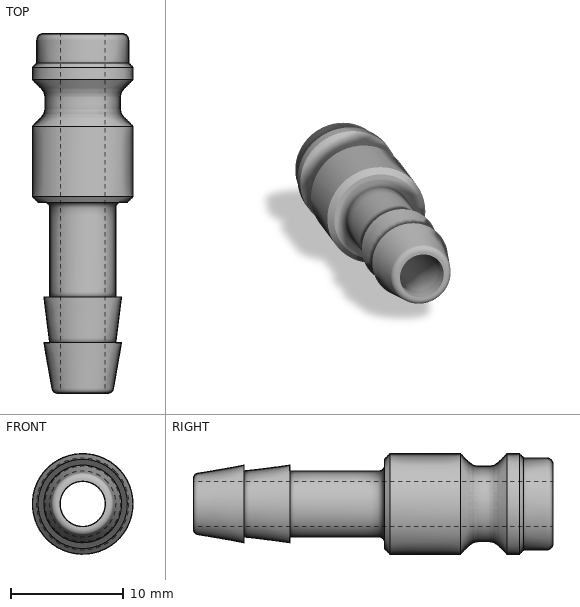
import cadquery as cq
import math

length = 32.0
head_end = length / 2

body_radius = 4.48
head_radius = 4.1
neck_radius = 3.35
stem_radius = 2.95
barb_radius = 3.45
bore_radius = 2.0

collar_start = 2.62
collar_end = 4.1
body_start = 8.25
body_end = 15.0
first_barb = 23.42
second_barb = 27.5

body_chamfer = 0.5
head_round = 0.6
neck_round = 1.0
stem_round = 0.45
tip_round = 0.5

tip_taper = math.radians(10)
tip_radius = barb_radius - (length - second_barb) * math.tan(tip_taper)
collar_step = body_radius - head_radius
groove_depth = body_radius - neck_radius
neck_start = collar_end + groove_depth
neck_end = body_start - groove_depth


def outer_body():
    """Revolve the sharp-cornered outer outline, given as (radius, station)."""
    outline = [
        (0, 0),
        (head_radius, 0),
        (head_radius, collar_start),
        (body_radius, collar_start + collar_step),
        (body_radius, collar_end),
        (neck_radius, neck_start),
        (neck_radius, neck_end),
        (body_radius, body_start),
        (body_radius, body_end - body_chamfer),
        (body_radius - body_chamfer, body_end),
        (stem_radius, body_end),
        (stem_radius, first_barb),
        (barb_radius, first_barb),
        (stem_radius, second_barb),
        (barb_radius, second_barb),
        (tip_radius, length),
        (0, length),
    ]
    points = [(radius, head_end - station) for radius, station in outline]
    return cq.Workplane("XY").polyline(points).close().revolve(360, (0, 0, 0), (0, 1, 0))


def round_ring(solid, ring_radius, station, fillet_radius):
    """Fillet the circular edge of the given radius at the given station."""
    tolerance = 0.003

    def is_ring(edge):
        if edge.geomType() != "CIRCLE":
            return False
        same_radius = abs(edge.radius() - ring_radius) < tolerance
        same_station = abs(edge.Center().y - (head_end - station)) < tolerance
        return same_radius and same_station

    return solid.edges().filter(is_ring).fillet(fillet_radius)


result = outer_body()
result = round_ring(result, head_radius, 0, head_round)
result = round_ring(result, neck_radius, neck_start, neck_round)
result = round_ring(result, neck_radius, neck_end, neck_round)
result = round_ring(result, stem_radius, body_end, stem_round)
result = round_ring(result, tip_radius, length, tip_round)

bore = cq.Workplane("XZ", origin=(0, head_end, 0)).circle(bore_radius).extrude(length)
result = result.cut(bore)